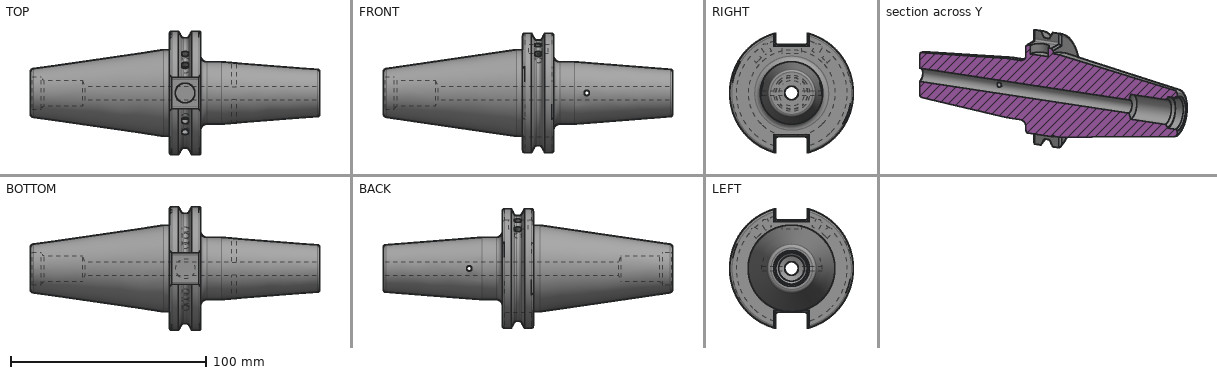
import cadquery as cq
import math


total_length = 148.2
gauge_x = 68.2
flange_start = 71.3
flange_width = 16.0
flange_end = flange_start + flange_width
flange_mid = flange_start + flange_width / 2
shank_taper_start = 97.8

gauge_radius = 22.2
steep_taper_slope = 7 / 48
taper_end_radius = gauge_radius - gauge_x * steep_taper_slope
flange_radius = 31.7
shank_radius = 16.0
shank_taper_angle = 4.5
shank_taper_length = total_length - shank_taper_start
nose_radius = shank_radius - shank_taper_length * math.tan(math.radians(shank_taper_angle))
taper_end_fillet = 2.0
nose_fillet = 1.3
taper_side_rim_fillet = 1.2
shank_side_rim_fillet = 1.0
shank_root_fillet = 3.0

groove_depth = 3.4
groove_floor_width = 3.0
groove_flank_angle = 30
groove_floor_radius = flange_radius - groove_depth
groove_mouth_width = groove_floor_width + 2 * groove_depth * math.tan(math.radians(groove_flank_angle))
groove_root_fillet = 1.0

mouth_chamfer = 0.9
counterbore_radius = 8.3
counterbore_depth = 5.3
pilot_mouth_radius = 8.0
pilot_radius = 6.5
pilot_depth = 26.7
through_radius = 3.4
pilot_mouth_angle = 45
pilot_point_angle = 70

slot_width = 16.3
slot_floors = {0: 24.9, 180: 22.5}
slot_corner_fillet = 1.0
slot_edge_chamfer = 1.0
slot_overcut = 1.5

pocket_diameter = 10.1
pocket_depth = 4.6

groove_hole_diameter = 3.7
groove_hole_depth = 4.5
groove_hole_angles = (-45, -30, 30, 45)

cross_hole_x = 104.2
cross_hole_diameter = 2.5


def revolve_about_axis(points):
    """Turn a closed outline of (x, radius) points about the X axis."""
    return cq.Workplane("XZ").polyline(points).close().revolve(360, (0, 0, 0), (1, 0, 0))


def ring_edges(body, *places):
    """Circular edges of the body centred on the axis at the given (x, radius) places."""
    tolerance = 0.01
    found = []
    for edge in body.edges("%CIRCLE").vals():
        for x, radius in places:
            if abs(edge.Center().x - x) < tolerance and abs(edge.radius() - radius) < tolerance:
                found.append(edge)
    return body.newObject(found)


def turned_body():
    groove_mouth = (flange_mid - groove_mouth_width / 2, flange_mid + groove_mouth_width / 2)
    groove_floor = (flange_mid - groove_floor_width / 2, flange_mid + groove_floor_width / 2)
    body = revolve_about_axis([
        (0, 0),
        (0, taper_end_radius),
        (gauge_x, gauge_radius),
        (flange_start, gauge_radius),
        (flange_start, flange_radius),
        (groove_mouth[0], flange_radius),
        (groove_floor[0], groove_floor_radius),
        (groove_floor[1], groove_floor_radius),
        (groove_mouth[1], flange_radius),
        (flange_end, flange_radius),
        (flange_end, shank_radius),
        (shank_taper_start, shank_radius),
        (total_length, nose_radius),
        (total_length, 0),
    ])
    body = ring_edges(body, (0, taper_end_radius)).fillet(taper_end_fillet)
    body = ring_edges(body, (total_length, nose_radius)).fillet(nose_fillet)
    body = ring_edges(body, (flange_end, shank_radius)).fillet(shank_root_fillet)
    body = ring_edges(body, (flange_start, flange_radius)).fillet(taper_side_rim_fillet)
    body = ring_edges(body, (flange_end, flange_radius)).fillet(shank_side_rim_fillet)
    return ring_edges(
        body, (groove_floor[0], groove_floor_radius), (groove_floor[1], groove_floor_radius)
    ).fillet(groove_root_fillet)


def axial_bore():
    pilot_mouth_length = (pilot_mouth_radius - pilot_radius) / math.tan(math.radians(pilot_mouth_angle))
    point_length = (pilot_radius - through_radius) / math.tan(math.radians(pilot_point_angle))
    return revolve_about_axis([
        (0, 0),
        (0, counterbore_radius + mouth_chamfer),
        (mouth_chamfer, counterbore_radius),
        (counterbore_depth, counterbore_radius),
        (counterbore_depth, pilot_mouth_radius),
        (counterbore_depth + pilot_mouth_length, pilot_radius),
        (pilot_depth, pilot_radius),
        (pilot_depth + point_length, through_radius),
        (total_length, through_radius),
        (total_length, 0),
    ])


def drive_slot(floor):
    """Slot on the +Z side, with rounded floor corners and bevelled ends."""
    height = flange_radius + slot_overcut - floor
    slot = (
        cq.Workplane("XY", origin=(flange_mid, 0, floor))
        .box(flange_width, slot_width, height, centered=(True, True, False))
        .edges("|X and <Z")
        .fillet(slot_corner_fillet)
    )
    narrow = slot_width / 2
    wide = narrow + slot_edge_chamfer
    top = floor + height
    bevel_floor = floor - slot_edge_chamfer
    for face_x, inward in ((flange_start, 1), (flange_end, -1)):
        bevel = (
            cq.Workplane("YZ", origin=(face_x, 0, 0))
            .polyline([(-wide, top), (-wide, bevel_floor), (wide, bevel_floor), (wide, top)])
            .close()
            .workplane(offset=inward * slot_edge_chamfer)
            .polyline([(-narrow, top), (-narrow, floor), (narrow, floor), (narrow, top)])
            .close()
            .loft(ruled=True)
        )
        slot = slot.union(bevel)
    return slot


def slot_pocket():
    return (
        cq.Workplane("XY", origin=(flange_mid, 0, slot_floors[0] - pocket_depth))
        .circle(pocket_diameter / 2)
        .extrude(pocket_depth)
    )


def groove_hole(angle):
    """Flat-ended radial hole, turned by the angle from +Z."""
    return (
        cq.Workplane("XY", origin=(flange_mid, 0, groove_floor_radius - groove_hole_depth))
        .circle(groove_hole_diameter / 2)
        .extrude(groove_hole_depth + groove_depth)
        .rotate((0, 0, 0), (1, 0, 0), angle)
    )


def cross_hole():
    return (
        cq.Workplane("XZ", origin=(cross_hole_x, 0, 0))
        .circle(cross_hole_diameter / 2)
        .extrude(shank_radius, both=True)
    )


result = turned_body().cut(axial_bore())
for turn, floor in slot_floors.items():
    result = result.cut(drive_slot(floor).rotate((0, 0, 0), (1, 0, 0), turn))
result = result.cut(slot_pocket())
for angle in groove_hole_angles:
    result = result.cut(groove_hole(angle))
result = result.cut(cross_hole())